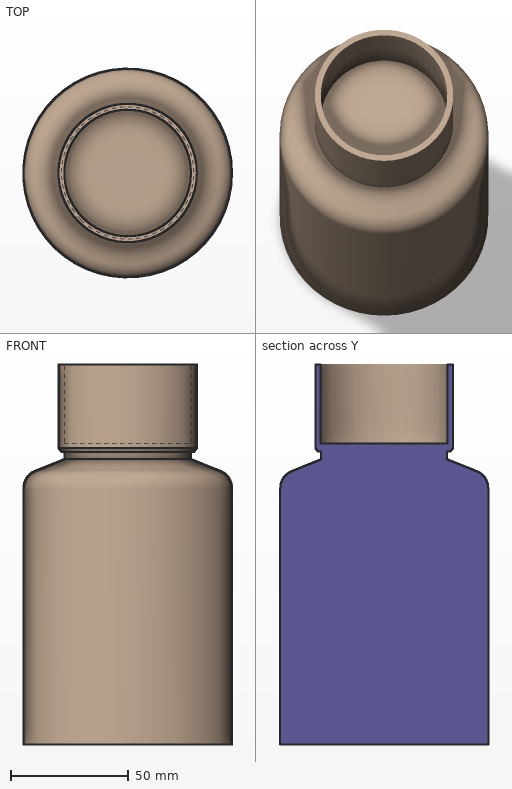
import cadquery as cq
import math

height = 162.0
body_radius = 89.0 / 2

body_top = 109.2
shoulder_round = 8.0
cone_slope = math.radians(22)

neck_radius = 54.0 / 2
collar_radius = 59.0 / 2
collar_length = 35.6
chamfer_width = 1.3
chamfer_height = 1.6
bore_radius = neck_radius
bore_depth = 33.7


def shoulder_point(angle):
    """Point on the shoulder round, with the angle measured up from horizontal."""
    radius = body_radius - shoulder_round * (1 - math.cos(angle))
    return radius, body_top + shoulder_round * math.sin(angle)


round_end_angle = math.pi / 2 - cone_slope
cone_radius, cone_base = shoulder_point(round_end_angle)
neck_base = cone_base + (cone_radius - neck_radius) * math.tan(cone_slope)

collar_base = height - collar_length
neck_top = collar_base - chamfer_height

bottle = (
    cq.Workplane("XZ")
    .lineTo(body_radius, 0)
    .lineTo(body_radius, body_top)
    .threePointArc(shoulder_point(round_end_angle / 2), (cone_radius, cone_base))
    .lineTo(neck_radius, neck_base)
    .lineTo(neck_radius, neck_top)
    .lineTo(collar_radius - chamfer_width, neck_top)
    .lineTo(collar_radius, collar_base)
    .lineTo(collar_radius, height)
    .lineTo(0, height)
    .close()
    .revolve(360, (0, 0, 0), (0, 1, 0))
)

bore = cq.Workplane("XY").workplane(offset=height - bore_depth).circle(bore_radius).extrude(bore_depth)

result = bottle.cut(bore)